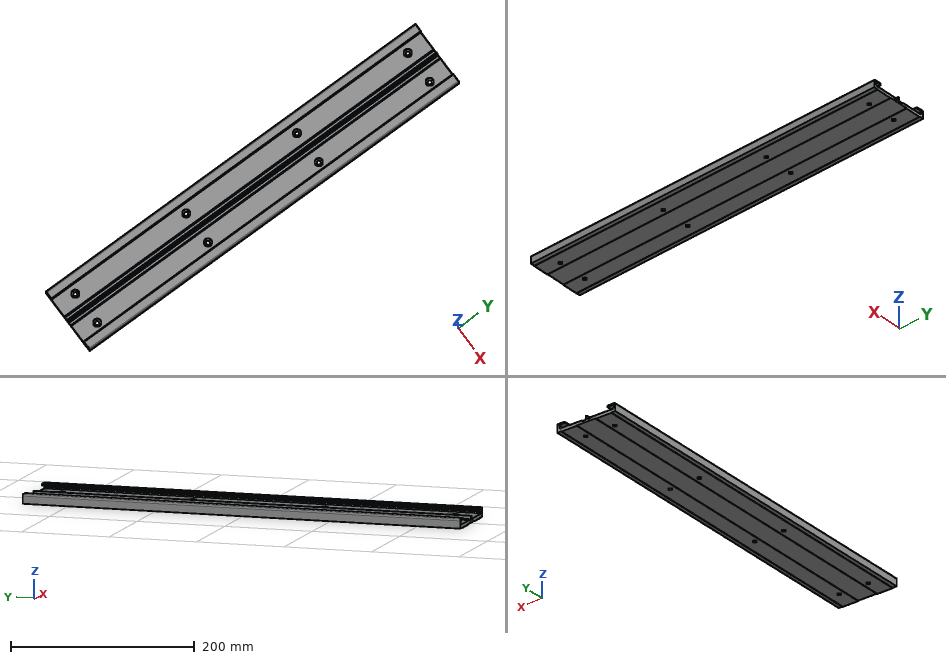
import cadquery as cq
import math

width = 80.0
length = 500.0
height = 11.0

wall = 2.5
lip_thickness = 2.0
lip_width = 11.0
lip_bevel = 1.0
floor_height = 4.5
channel_height = 3.5
channel_top_width = 13.0
channel_bottom_width = 10.5
rib_width = 2.0
rib_base_bevel = 1.0
rib_height = 8.0
corner_radius = 1.5
inner_chamfer = 1.5

foot_inner = 13.0
foot_outer = 34.5
foot_height = 0.5

hole_columns = 2
hole_rows = 4
hole_column_spacing = 40.0
hole_row_spacing = 150.0
hole_diameter = 4.5
bore_diameter = 9.0
bore_depth = 2.5


def rail_profile():
    """Symmetric rail section in the XZ plane, drawn as its right half and mirrored."""
    half_width = width / 2
    inner_wall = half_width - wall
    lip_tip = half_width - lip_width
    lip_bottom = height - lip_thickness
    half_rib = rib_width / 2
    arc_inset = corner_radius * (1 - math.sqrt(0.5))
    right_half = (
        cq.Workplane("XZ")
        .moveTo(0, foot_height)
        .lineTo(foot_inner, foot_height)
        .lineTo(foot_inner, 0)
        .lineTo(foot_outer, 0)
        .lineTo(foot_outer, foot_height)
        .lineTo(half_width, foot_height)
        .lineTo(half_width, height - corner_radius)
        .threePointArc(
            (half_width - arc_inset, height - arc_inset),
            (half_width - corner_radius, height),
        )
        .lineTo(lip_tip + lip_bevel, height)
        .lineTo(lip_tip, height - lip_bevel)
        .lineTo(lip_tip, lip_bottom)
        .lineTo(inner_wall, lip_bottom)
        .lineTo(inner_wall, floor_height + inner_chamfer)
        .lineTo(inner_wall - inner_chamfer, floor_height)
        .lineTo(channel_top_width / 2, floor_height)
        .lineTo(channel_bottom_width / 2, channel_height)
        .lineTo(half_rib + rib_base_bevel, channel_height)
        .lineTo(half_rib, channel_height + rib_base_bevel)
        .lineTo(half_rib, rib_height)
        .lineTo(0, rib_height)
    )
    return right_half.mirrorY()


def cylinders_at_holes(diameter, bottom, top):
    """One vertical cylinder at every hole position."""
    return (
        cq.Workplane("XY")
        .workplane(offset=bottom)
        .rarray(hole_column_spacing, hole_row_spacing, hole_columns, hole_rows)
        .circle(diameter / 2)
        .extrude(top - bottom)
    )


rail = rail_profile().extrude(length / 2, both=True)

result = (
    rail.cut(cylinders_at_holes(hole_diameter, 0, floor_height))
    .cut(cylinders_at_holes(bore_diameter, floor_height - bore_depth, floor_height))
)